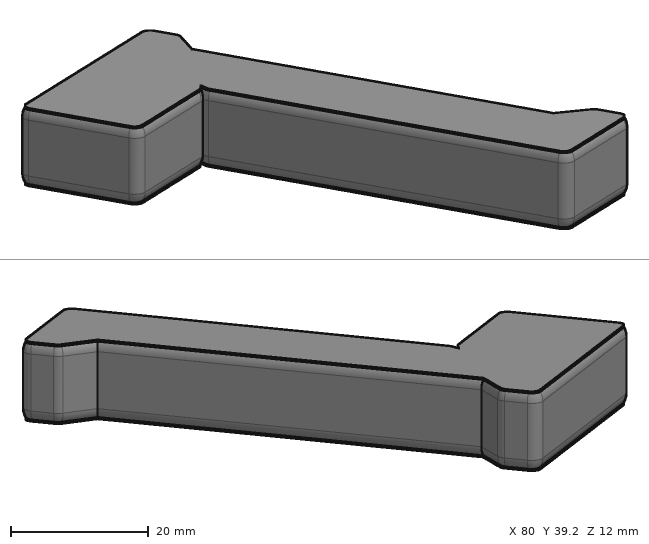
import cadquery as cq
import math

length = 80.0
depth = 39.2
thickness = 12.0

leg_width = 20.0
arm_depth = 19.4
recess_depth = 4.45
horn_width = 6.0
corner_radius = 1.75

crease_radius = 2.2
crease_start = 0.75

rim_height = 1.7
land_height = 0.3
rim_inset = 0.4
clearance = 0.5

left = -length / 2
right = length / 2
back = depth / 2
front = -depth / 2
top = thickness / 2
leg_side = left + leg_width
arm_front = back - arm_depth
recess_floor = back - recess_depth
horn_edges = (left + horn_width, right - horn_width)
floor_ends = (horn_edges[0] + recess_depth, horn_edges[1] - recess_depth)

half_span = (crease_radius - crease_start) / 2
crease_depth = half_span - math.sqrt(half_span**2 - crease_start**2 / 2)


def upright_edges_at(body, points):
    """Select the upright edges standing on the given plan points."""
    reach = 0.1
    boxes = [
        cq.selectors.BoxSelector((x - reach, y - reach, -thickness), (x + reach, y + reach, thickness))
        for x, y in points
    ]
    selector = boxes[0]
    for box in boxes[1:]:
        selector = selector + box
    return body.edges("|Z").edges(selector)


def make_blank():
    """Plain prism with its upright convex edges rounded."""
    mid_angle = math.asin((crease_start + crease_depth) / crease_radius) / 2
    along = crease_radius * math.sin(mid_angle) - crease_start
    inward = crease_radius * (1 - math.cos(mid_angle))
    crease = (leg_side - crease_depth, arm_front + crease_depth)
    body = (
        cq.Workplane("XY")
        .workplane(offset=-top)
        .moveTo(left, front)
        .lineTo(leg_side, front)
        .lineTo(leg_side, arm_front - crease_start)
        .threePointArc((leg_side - inward, arm_front + along), crease)
        .threePointArc((leg_side - along, arm_front + inward), (leg_side + crease_start, arm_front))
        .lineTo(right, arm_front)
        .lineTo(right, back)
        .lineTo(horn_edges[1], back)
        .lineTo(floor_ends[1], recess_floor)
        .lineTo(floor_ends[0], recess_floor)
        .lineTo(horn_edges[0], back)
        .lineTo(left, back)
        .close()
        .extrude(thickness)
    )
    rounded = [
        (left, front),
        (leg_side, front),
        (right, arm_front),
        (right, back),
        (horn_edges[1], back),
        (horn_edges[0], back),
        (left, back),
    ]
    return upright_edges_at(body, rounded).fillet(corner_radius)


def make_rim_cutter(blank):
    """Waste outside the upper rim, swept around the outline of the blank."""
    rim_base = top - rim_height
    arc_height = rim_height - land_height
    arc_radius = (arc_height**2 + rim_inset**2) / (2 * rim_inset)
    half_angle = math.asin(arc_height / arc_radius) / 2
    arc_mid = (left + arc_radius * (1 - math.cos(half_angle)), rim_base + arc_radius * math.sin(half_angle))
    face_edge = left + rim_inset
    path = blank.faces("<Z").wires().translate((0, 0, thickness - rim_height))
    profile = (
        cq.Workplane("XZ")
        .moveTo(left, rim_base)
        .threePointArc(arc_mid, (face_edge, top - land_height))
        .lineTo(face_edge, top + clearance)
        .lineTo(left - clearance, top + clearance)
        .lineTo(left - clearance, rim_base)
        .close()
    )
    return profile.sweep(path, transition="right")


blank = make_blank()
upper_cutter = make_rim_cutter(blank)
lower_cutter = upper_cutter.mirror("XY")
result = blank.cut(upper_cutter).cut(lower_cutter)